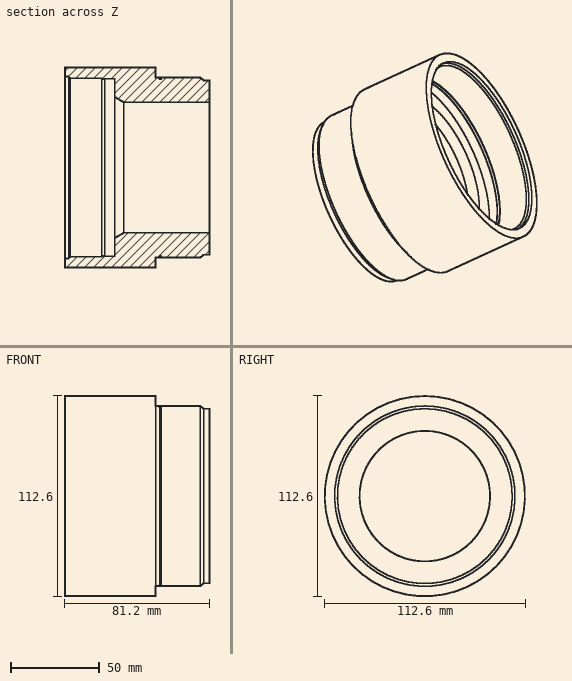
import cadquery as cq

total_length = 81.2
body_length = 50.9
outer_groove_start = 53.1
outer_groove_end = 54.0
spigot_taper_start = 76.0
spigot_taper_end = 77.9

mouth_depth = 2.0
mouth_taper_end = 3.0
inner_rib_start = 20.7
inner_rib_end = 22.4
socket_depth = 27.9
bore_taper_length = 5.2

body_radius = 56.3
spigot_radius = 50.6
spigot_tip_radius = 49.1
outer_groove_radius = spigot_radius - 0.8
mouth_radius = 51.1
socket_radius = 50.1
inner_rib_radius = socket_radius - 0.5
socket_end_radius = socket_radius - 0.2
bore_radius = 36.6
bore_taper_radius = 39.6


def turned_solid(points):
    """Revolve a profile of (axial position, radius) points about the X axis."""
    profile = cq.Workplane("XZ").polyline(points).close()
    return profile.revolve(360, (0, 0, 0), (1, 0, 0))


outer_form = turned_solid([
    (0, 0),
    (0, body_radius),
    (body_length, body_radius),
    (body_length, spigot_radius),
    (outer_groove_start, spigot_radius),
    (outer_groove_start, outer_groove_radius),
    (outer_groove_end, outer_groove_radius),
    (outer_groove_end, spigot_radius),
    (spigot_taper_start, spigot_radius),
    (spigot_taper_end, spigot_tip_radius),
    (total_length, spigot_tip_radius),
    (total_length, 0),
])

cavity = turned_solid([
    (0, 0),
    (0, mouth_radius),
    (mouth_depth, mouth_radius),
    (mouth_taper_end, socket_radius),
    (inner_rib_start, socket_radius),
    (inner_rib_start, inner_rib_radius),
    (inner_rib_end, inner_rib_radius),
    (inner_rib_end, socket_end_radius),
    (socket_depth, socket_end_radius),
    (socket_depth, bore_taper_radius),
    (socket_depth + bore_taper_length, bore_radius),
    (total_length, bore_radius),
    (total_length, 0),
])

result = outer_form.cut(cavity)